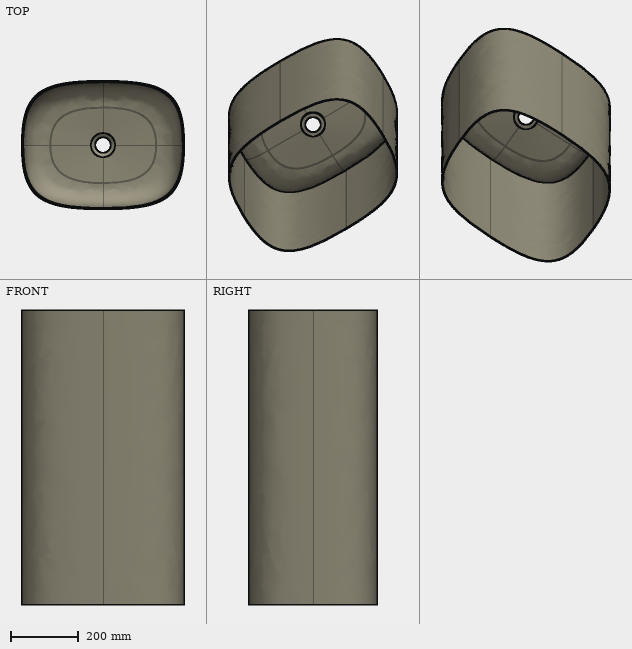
import cadquery as cq
import math

HEIGHT = 870.0
LENGTH = 480.0
WIDTH = 380.0
SHELL_WALL = 2.4

BASIN_WALL = 2.4
FLOOR_EDGE_DEPTH = 122.0
FLOOR_HALF_LENGTH = 155.0
FLOOR_HALF_WIDTH = 110.5
BOWL_SECTIONS = 5
BOWL_EXPONENT = 2.5

DRAIN_DEPTH = 128.0
DRAIN_RADIUS = 36.0
DRAIN_HOLE_RADIUS = 23.0
DRAIN_CONE_HEIGHT = 9.0
DRAIN_LIP_HEIGHT = 4.0

RIM_HANDLES = (0.82, 0.77)
FLOOR_HANDLES = (0.65, 0.76)
CIRCLE_HANDLES = (4 / 3 * (math.sqrt(2) - 1),) * 2

HALF_LENGTH = LENGTH / 2
HALF_WIDTH = WIDTH / 2
BASIN_HALF_LENGTH = HALF_LENGTH - SHELL_WALL
BASIN_HALF_WIDTH = HALF_WIDTH - SHELL_WALL
BOWL_HALF_LENGTH = BASIN_HALF_LENGTH - BASIN_WALL
BOWL_HALF_WIDTH = BASIN_HALF_WIDTH - BASIN_WALL


def oval(half_length, half_width, handles, z):
    """Closed wire of four Bezier quarters, smooth where they meet on the axes."""
    along_y = half_width * handles[0]
    along_x = half_length * handles[1]
    quarter = [(half_length, 0), (half_length, along_y), (along_x, half_width), (0, half_width)]
    mirrored = [(-x, y) for x, y in reversed(quarter)]
    upper = [quarter, mirrored]
    lower = [[(-x, -y) for x, y in points] for points in upper]
    edges = [
        cq.Edge.makeBezier([cq.Vector(x, y, z) for x, y in points])
        for points in upper + lower
    ]
    return cq.Wire.assembleEdges(edges)


def blend(start, end, share):
    """Value a given share of the way from start to end."""
    return start + (end - start) * share


def bowl(growth):
    """Solid bowl: walls curving as a quarter superellipse, then a floor sloping to the drain.

    Growth moves the surface outward and downward by that amount.
    """
    sections = []
    for step in range(BOWL_SECTIONS + 1):
        angle = math.pi / 2 * step / BOWL_SECTIONS
        inset = 1 - math.cos(angle) ** (2 / BOWL_EXPONENT)
        drop = math.sin(angle) ** (2 / BOWL_EXPONENT)
        sections.append(
            oval(
                blend(BOWL_HALF_LENGTH, FLOOR_HALF_LENGTH, inset) + growth,
                blend(BOWL_HALF_WIDTH, FLOOR_HALF_WIDTH, inset) + growth,
                [blend(rim, floor, inset) for rim, floor in zip(RIM_HANDLES, FLOOR_HANDLES)],
                HEIGHT - (FLOOR_EDGE_DEPTH + growth) * drop,
            )
        )
    drain_edge = oval(DRAIN_RADIUS, DRAIN_RADIUS, CIRCLE_HANDLES, HEIGHT - DRAIN_DEPTH - growth)
    walls = cq.Solid.makeLoft(sections)
    floor = cq.Solid.makeLoft([sections[-1], drain_edge], True)
    return cq.Workplane(walls).union(cq.Workplane(floor))


def make_shell():
    """Straight oval tube, open at both ends."""
    outer = cq.Solid.extrudeLinear(
        oval(HALF_LENGTH, HALF_WIDTH, RIM_HANDLES, 0), [], cq.Vector(0, 0, HEIGHT)
    )
    inner = cq.Solid.extrudeLinear(
        oval(BASIN_HALF_LENGTH, BASIN_HALF_WIDTH, RIM_HANDLES, 0), [], cq.Vector(0, 0, HEIGHT)
    )
    return cq.Workplane(outer).cut(cq.Workplane(inner)).solids()


def make_basin():
    """Thin bowl with a round hole for the drain ring."""
    drain_hole = cq.Workplane("XY").circle(DRAIN_RADIUS).extrude(HEIGHT)
    return bowl(BASIN_WALL).cut(bowl(0)).cut(drain_hole).solids()


def make_drain():
    """Ring with a conical mouth above a short cylindrical lip."""
    top = HEIGHT - DRAIN_DEPTH
    lip_top = top - DRAIN_CONE_HEIGHT
    bottom = lip_top - DRAIN_LIP_HEIGHT
    section = [
        (DRAIN_HOLE_RADIUS, bottom),
        (DRAIN_RADIUS, bottom),
        (DRAIN_RADIUS, top),
        (DRAIN_HOLE_RADIUS, lip_top),
    ]
    return cq.Workplane("XZ").polyline(section).close().revolve(360, (0, 0), (0, 1))


shell = make_shell()
basin = make_basin()
drain = make_drain()

result = cq.Compound.makeCompound([shell.val(), basin.val(), drain.val()])